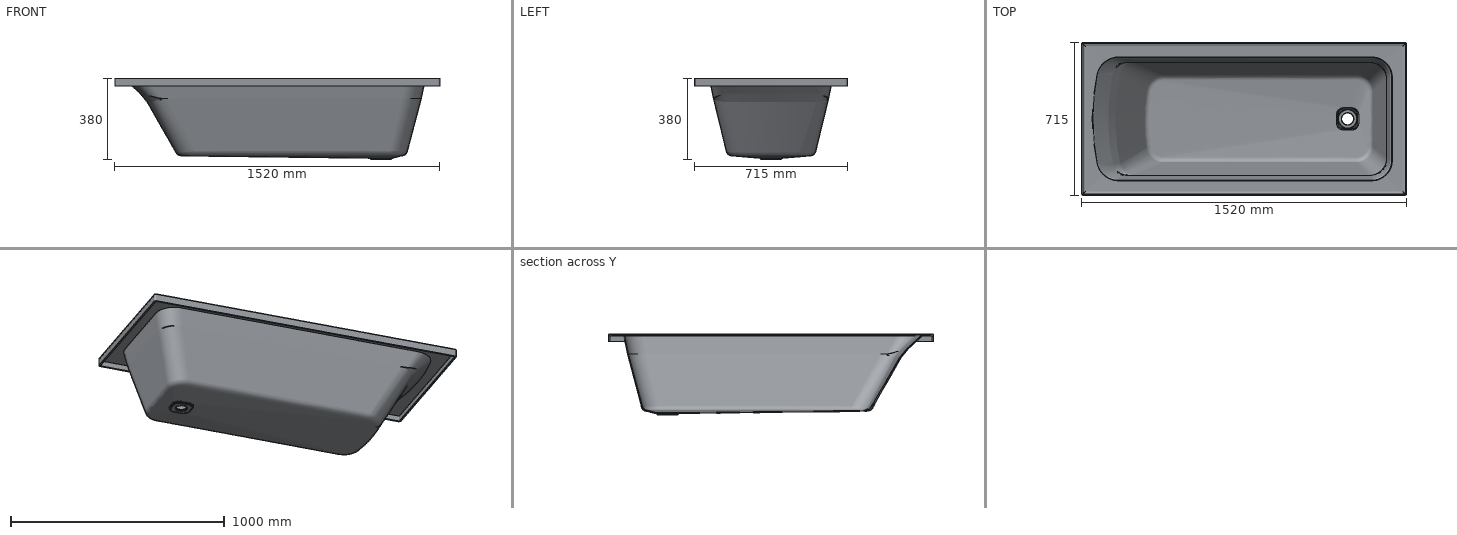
import cadquery as cq
import math

RIM_LENGTH = 1520.0
RIM_WIDTH = 715.0
SKIRT_HEIGHT = 37.0
SKIRT_THICKNESS = 8.0
SHEET = 5.0
HEAD_SHEET = 8.0
RIM_CORNER_RADIUS = 10.0
RIM_EDGE_RADIUS = 3.0
BEAD_WIDTH = 6.0
BEAD_SLOPE_WIDTH = 12.0
BEAD_HEIGHT = 4.0
FLANGE_FALL = 2.0
FLANGE_RUN_X = 108.0
FLANGE_RUN_Y = 90.0

BOW_CENTER_X = 390.0
FLOOR_Z = -358.0
WAIST_Z = -95.0
WAIST_BAND = 0.5
HEAD_BEND_TOP_Z = -72.0
HEAD_BEND_BOTTOM_Z = -113.0
OPENING_RADIUS = 12.0
OPENING_DEPTH = 10.0
OPENING_REACH = 709.0
FLOOR_RADIUS = 25.0

OPENING = dict(
    side_z=0.0, half_width=284.0, foot_x=687.0, foot_corner=87.0,
    head_z=0.0, head_x=-710.0, head_corner=98.0,
)
UPPER_WAIST = dict(
    side_z=WAIST_Z + WAIST_BAND / 2, half_width=264.0, foot_x=667.0, foot_corner=81.0,
    head_z=HEAD_BEND_TOP_Z, head_x=-634.0, head_corner=70.0,
)
LOWER_WAIST = dict(
    UPPER_WAIST, side_z=WAIST_Z - WAIST_BAND / 2,
    head_z=HEAD_BEND_BOTTOM_Z, head_x=-601.0, head_corner=66.0,
)
FLOOR = dict(
    side_z=FLOOR_Z, half_width=199.0, foot_x=596.0, foot_corner=71.0,
    head_z=FLOOR_Z, head_x=-458.0, head_corner=78.0,
)

DRAIN_X = 484.0
FLOOR_FALL = 11.0
RECESS_SIZE = 105.0
RECESS_CORNER = 35.0
RECESS_INSET = 6.0
RECESS_DEPTH = 6.0
RECESS_FLOOR_Z = FLOOR_Z - FLOOR_FALL - RECESS_DEPTH
DRAIN_BORE = 56.0
RING_DIAMETER = 92.0
RING_HEIGHT = 5.0
RING_CHAMFER = 3.0

ARC_MIDDLE = 1 - math.sqrt(0.5)


def arc(start, middle, end):
    return cq.Edge.makeThreePointArc(cq.Vector(*start), cq.Vector(*middle), cq.Vector(*end))


def line(start, end):
    return cq.Edge.makeLine(cq.Vector(*start), cq.Vector(*end))


def bowl_wire(section, grow, head_grow, drop=0.0):
    """Outline of the bowl at one section, grown outwards and lowered by `drop`."""
    half_width = section["half_width"] + grow
    foot_x = section["foot_x"] + grow
    foot_radius = section["foot_corner"] + grow
    head_x = section["head_x"] - head_grow
    head_radius = section["head_corner"] + grow
    side_z = section["side_z"] - drop
    head_z = section["head_z"] - drop

    bow_radius = BOW_CENTER_X - head_x
    corner_y = half_width - head_radius
    corner_x = BOW_CENTER_X - math.sqrt((bow_radius - head_radius) ** 2 - corner_y**2)
    bow_angle = math.atan2(corner_y, BOW_CENTER_X - corner_x)
    middle_angle = (bow_angle + math.pi / 2) / 2

    def foot_end(side):
        return (foot_x, side * (half_width - foot_radius), side_z)

    def foot_middle(side):
        inset = foot_radius * ARC_MIDDLE
        return (foot_x - inset, side * (half_width - inset), side_z)

    def foot_side(side):
        return (foot_x - foot_radius, side * half_width, side_z)

    def head_side(side):
        return (corner_x, side * half_width, side_z)

    def head_middle(side):
        x = corner_x - head_radius * math.cos(middle_angle)
        y = corner_y + head_radius * math.sin(middle_angle)
        return (x, side * y, (side_z + head_z) / 2)

    def head_end(side):
        x = BOW_CENTER_X - bow_radius * math.cos(bow_angle)
        return (x, side * bow_radius * math.sin(bow_angle), head_z)

    return cq.Wire.assembleEdges([
        line(foot_end(-1), foot_end(1)),
        arc(foot_end(1), foot_middle(1), foot_side(1)),
        line(foot_side(1), head_side(1)),
        arc(head_side(1), head_middle(1), head_end(1)),
        arc(head_end(1), (head_x, 0, head_z), head_end(-1)),
        arc(head_end(-1), head_middle(-1), head_side(-1)),
        line(head_side(-1), foot_side(-1)),
        arc(foot_side(-1), foot_middle(-1), foot_end(-1)),
    ])


def recess_wire(inset, z):
    """Rounded square around the drain, drawn about the origin and moved to the drain."""
    half = RECESS_SIZE / 2 - inset
    straight = RECESS_SIZE / 2 - RECESS_CORNER
    middle = half - (half - straight) * ARC_MIDDLE
    side = line((half, -straight, z), (half, straight, z))
    corner = arc((half, straight, z), (middle, middle, z), (straight, half, z))
    edges = []
    for turn in range(4):
        for edge in (side, corner):
            edges.append(edge.rotate(cq.Vector(0, 0, 0), cq.Vector(0, 0, 1), 90 * turn))
    return cq.Wire.assembleEdges(edges).translate(cq.Vector(DRAIN_X, 0, 0))


def rectangle_wire(inset_x, inset_y, z):
    return (
        cq.Workplane("XY", origin=(0, 0, z))
        .rect(RIM_LENGTH - 2 * inset_x, RIM_WIDTH - 2 * inset_y)
        .wires()
        .val()
    )


def ruled(wires):
    return cq.Workplane(cq.Solid.makeLoft(wires, True))


def bowl(grow=0.0, head_grow=0.0, drop=0.0):
    """The bowl as a full block: walls, rounded floor edge, sloping floor and drain recess."""
    wires = [bowl_wire(section, grow, head_grow) for section in (OPENING, UPPER_WAIST, LOWER_WAIST)]
    wires.append(bowl_wire(FLOOR, grow, head_grow, drop))
    walls = ruled(wires)
    walls = walls.faces("<Z").edges().fillet(FLOOR_RADIUS + grow)
    border = walls.faces("<Z").wires().val()
    recess_z = FLOOR_Z - drop - FLOOR_FALL
    floor = ruled([border, recess_wire(0, recess_z)])
    recess = ruled([recess_wire(0, recess_z), recess_wire(RECESS_INSET, recess_z - RECESS_DEPTH)])
    return walls.union(floor).union(recess)


def rim_blank():
    return (
        cq.Workplane("XY")
        .rect(RIM_LENGTH, RIM_WIDTH)
        .extrude(-SKIRT_HEIGHT)
        .edges("|Z")
        .fillet(RIM_CORNER_RADIUS)
        .faces(">Z")
        .edges()
        .fillet(RIM_EDGE_RADIUS)
    )


def rim_tray():
    """The space above the flange: the bead's inner slope and the mitred flange faces."""
    foot = BEAD_WIDTH + BEAD_SLOPE_WIDTH
    return ruled([
        rectangle_wire(BEAD_WIDTH, BEAD_WIDTH, 0),
        rectangle_wire(foot, foot, -BEAD_HEIGHT),
        rectangle_wire(foot + FLANGE_RUN_X, foot + FLANGE_RUN_Y, -BEAD_HEIGHT - FLANGE_FALL),
    ])


def rim_underside():
    top_z = -BEAD_HEIGHT - FLANGE_FALL - SHEET
    return (
        cq.Workplane("XY", origin=(0, 0, top_z))
        .rect(RIM_LENGTH - 2 * SKIRT_THICKNESS, RIM_WIDTH - 2 * SKIRT_THICKNESS)
        .extrude(-SKIRT_HEIGHT - top_z)
        .edges("|Z")
        .fillet(RIM_CORNER_RADIUS - SKIRT_THICKNESS)
    )


def opening_flare():
    """The rounded opening of the bowl, up to the highest point where it meets the flange."""
    flange_slope = FLANGE_FALL / FLANGE_RUN_X
    flange_start = RIM_LENGTH / 2 - BEAD_WIDTH - BEAD_SLOPE_WIDTH
    top_z = -BEAD_HEIGHT - flange_slope * (flange_start - OPENING_REACH)
    plate = cq.Workplane("XY", origin=(0, 0, top_z)).rect(RIM_LENGTH, RIM_WIDTH).extrude(-OPENING_DEPTH)
    surround = plate.cut(bowl())
    surround = surround.faces(">Z").wires(cq.selectors.AreaNthSelector(0)).edges().fillet(OPENING_RADIUS)
    return plate.cut(surround)


def make_tub():
    body = rim_blank().cut(rim_underside()).union(bowl(SHEET, HEAD_SHEET, SHEET))
    body = body.cut(rim_tray()).cut(bowl()).cut(opening_flare())
    bore = (
        cq.Workplane("XY", origin=(DRAIN_X, 0, RECESS_FLOOR_Z))
        .circle(DRAIN_BORE / 2)
        .extrude(-SHEET)
    )
    return body.cut(bore)


def make_drain_ring():
    disc = (
        cq.Workplane("XY", origin=(DRAIN_X, 0, RECESS_FLOOR_Z))
        .circle(RING_DIAMETER / 2)
        .extrude(RING_HEIGHT)
        .faces(">Z")
        .edges()
        .chamfer(RING_CHAMFER)
    )
    return disc.faces(">Z").workplane(origin=(DRAIN_X, 0, 0)).hole(DRAIN_BORE)


tub = make_tub()
drain_ring = make_drain_ring()
result = cq.Compound.makeCompound([tub.val(), drain_ring.val()])